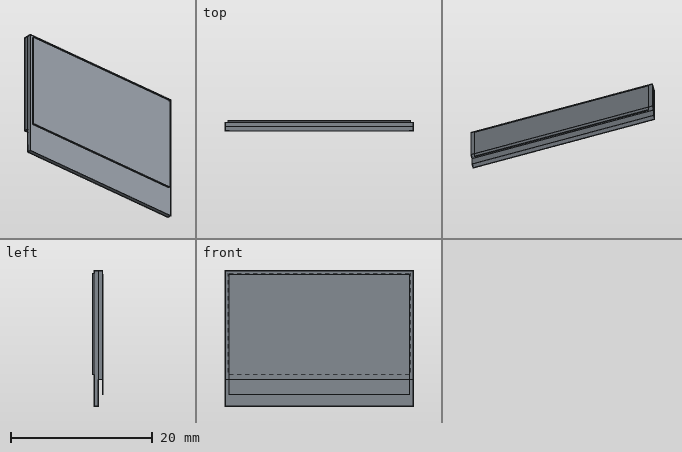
import cadquery as cq

panel_width = 26.6
rear_glass_height = 19.2
front_glass_height = 15.43
total_thickness = 1.5

front_film_thickness = 0.05
front_film_height = 16.97
front_film_margin = 0.55

rear_film_thickness = 0.25
rear_film_height = 14.3
rear_film_margin = 0.4

glass_thickness = (total_thickness - front_film_thickness - rear_film_thickness) / 2

front_glass_y = -glass_thickness
front_film_y = front_glass_y - front_film_thickness
rear_glass_y = 0.0
rear_film_y = rear_glass_y + glass_thickness


def make_layer(height, thickness, front_y, margin=0.0):
    """Flat plate centred in X, inset by margin from the panel's top (Z = 0) and sides."""
    width = panel_width - 2 * margin
    return (
        cq.Workplane("XY")
        .box(width, thickness, height, centered=(True, False, False))
        .translate((0, front_y, -margin - height))
    )


rear_glass = make_layer(rear_glass_height, glass_thickness, rear_glass_y)
front_glass = make_layer(front_glass_height, glass_thickness, front_glass_y)

front_film = make_layer(front_film_height, front_film_thickness, front_film_y, front_film_margin)
rear_film = make_layer(rear_film_height, rear_film_thickness, rear_film_y, rear_film_margin)

result = cq.Compound.makeCompound(
    [rear_glass.val(), front_glass.val(), front_film.val(), rear_film.val()]
)